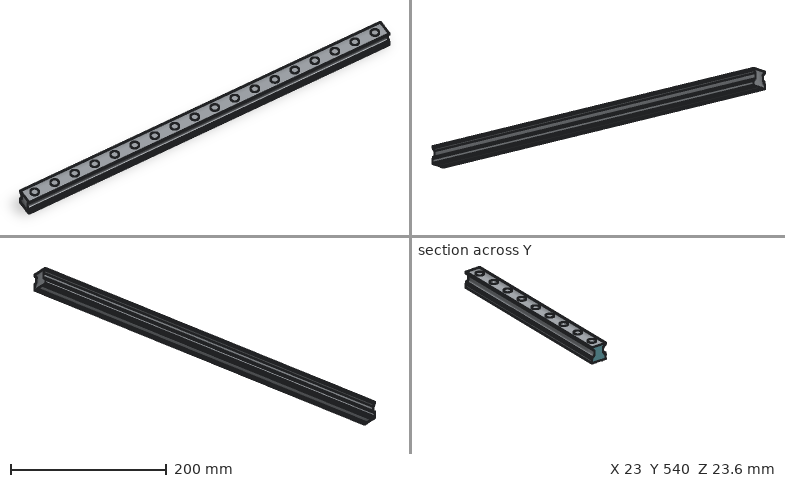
import cadquery as cq

rail_width = 23.0
rail_length = 540.0
rail_height = 23.6
half_width = rail_width / 2

base_chamfer = 1.0
relief_half_width = 5.3
relief_depth = 0.3

foot_top = 6.3
step_half_width = 9.9
step_height = 7.6
ledge_half_width = 10.6
ledge_height = 9.3

neck_half_width = 7.5
neck_bottom = 10.1
neck_fillet = 2.0

track_half_width = 10.5
track_top = 20.9
neck_top = track_top - (track_half_width - neck_half_width)
lip_half_width = 10.3
lip_height = 21.8
head_bottom = 22.2
top_chamfer = 0.4

hole_pitch = 30.0
hole_count = round(rail_length / hole_pitch)
hole_diameter = 11.0
cap_recess_depth = 0.1


def rail_body():
    """Constant section, symmetric about X = 0, centred along Y."""
    right_side = [
        (relief_half_width, relief_depth),
        (relief_half_width, 0),
        (half_width - base_chamfer, 0),
        (half_width, base_chamfer),
        (half_width, foot_top),
        (step_half_width, step_height),
        (ledge_half_width, ledge_height),
        (neck_half_width, neck_bottom),
        (neck_half_width, neck_top),
        (track_half_width, track_top),
        (lip_half_width, lip_height),
        (half_width, head_bottom),
        (half_width, rail_height - top_chamfer),
        (half_width - top_chamfer, rail_height),
    ]
    left_side = [(-x, z) for x, z in reversed(right_side)]
    profile = cq.Workplane("XZ").polyline(right_side + left_side).close()
    return profile.extrude(rail_length / 2, both=True)


def round_neck_corners(body):
    """Fillet the inner corner between neck and ledge on both sides."""
    for side in (-1, 1):
        corner = cq.NearestToPointSelector((side * neck_half_width, 0, neck_bottom))
        body = body.edges("|Y").edges(corner).fillet(neck_fillet)
    return body


def cap_recesses():
    """Shallow round recesses, one over each capped mounting hole."""
    return (
        cq.Workplane("XY")
        .workplane(offset=rail_height - cap_recess_depth)
        .rarray(1, hole_pitch, 1, hole_count)
        .circle(hole_diameter / 2)
        .extrude(cap_recess_depth)
    )


result = round_neck_corners(rail_body()).cut(cap_recesses())